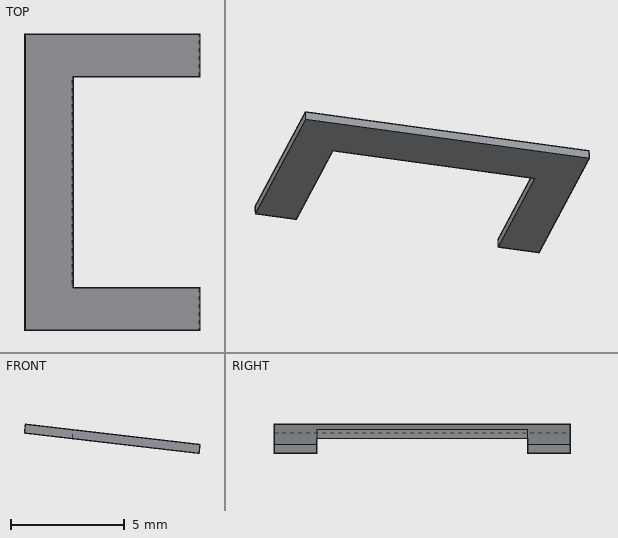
import cadquery as cq

PLATE_LENGTH = 7.73
PLATE_WIDTH = 13.01
PLATE_THICKNESS = 0.4
LEG_WIDTH = 1.88
SPINE_WIDTH = 2.12
TILT_ANGLE = 6.64

OPENING_LENGTH = PLATE_LENGTH - SPINE_WIDTH
OPENING_WIDTH = PLATE_WIDTH - 2 * LEG_WIDTH


def flat_bracket():
    """C-shaped plate lying flat, with its opening toward +X."""
    plate = cq.Workplane("XY").box(PLATE_LENGTH, PLATE_WIDTH, PLATE_THICKNESS)
    opening = (
        cq.Workplane("XY")
        .box(OPENING_LENGTH, OPENING_WIDTH, PLATE_THICKNESS)
        .translate((SPINE_WIDTH / 2, 0, 0))
    )
    return plate.cut(opening)


result = flat_bracket().rotate((0, 0, 0), (0, 1, 0), TILT_ANGLE)